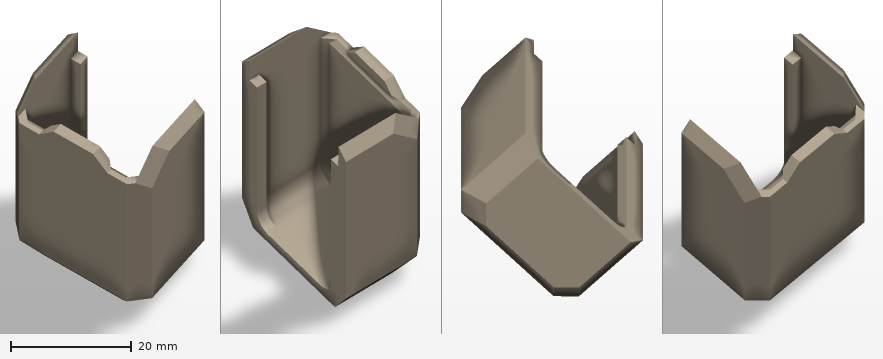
import cadquery as cq

width = 28.0
depth = 18.0
height = 42.0

wall = 2.0
corner_cut = 3.0
taper_inset = corner_cut
taper_height = 5.0

rim_z = 37.0
tab_rise = 3.0
tab_base_width = 14.0
tab_top_width = tab_base_width - 2 * tab_rise

floor_thickness = wall
floor_radius = 3.0
cavity_chamfer = wall / 2
post_size = wall
groove_depth = wall / 2

half_width = width / 2
inner_half_width = half_width - wall
post_y = depth - post_size


def section(inset):
    """Outer section with the sides and front moved in by the inset."""
    half = half_width - inset
    corner_y = inset + corner_cut
    return [
        (-half, depth),
        (-half, corner_y),
        (-half + corner_cut, inset),
        (half - corner_cut, inset),
        (half, corner_y),
        (half, depth),
    ]


def outer_body():
    straight = (
        cq.Workplane("XY", origin=(0, 0, taper_height))
        .polyline(section(0)).close()
        .extrude(height - taper_height)
    )
    tapered = (
        cq.Workplane("XY")
        .polyline(section(taper_inset)).close()
        .workplane(offset=taper_height)
        .polyline(section(0)).close()
        .loft(ruled=True, combine=True)
    )
    return straight.union(tapered)


def channel(half, start_y, end_y):
    """Open-topped channel along Y, up to the rim, with rounded floor corners."""
    return (
        cq.Workplane("XY")
        .box(2 * half, end_y - start_y, rim_z - floor_thickness, centered=(True, False, False))
        .translate((0, start_y, floor_thickness))
        .edges("|Y and <Z").fillet(floor_radius)
    )


def cavity():
    main = channel(inner_half_width, wall, post_y)
    main = main.faces("<Y").edges("not >Z").chamfer(cavity_chamfer)
    between_posts = channel(inner_half_width - post_size, post_y, depth)
    return main.union(between_posts)


def space_above_rim():
    """Clears everything between the side walls above the rim, except the tab."""
    tab = (
        cq.Workplane("XZ")
        .polyline([
            (-tab_base_width / 2, rim_z),
            (tab_base_width / 2, rim_z),
            (tab_top_width / 2, rim_z + tab_rise),
            (-tab_top_width / 2, rim_z + tab_rise),
        ]).close()
        .extrude(-wall)
    )
    space = (
        cq.Workplane("XY", origin=(0, 0, rim_z))
        .box(2 * inner_half_width, depth, height - rim_z, centered=(True, False, False))
    )
    return space.cut(tab)


def rim_groove():
    """V groove level with the rim; its ends run in line with the cavity chamfers."""
    mouth_half = inner_half_width - cavity_chamfer
    bottom_half = mouth_half - groove_depth
    bottom_y = wall - groove_depth
    vee = (
        cq.Workplane("YZ", origin=(-mouth_half, 0, 0))
        .polyline([
            (wall, rim_z - groove_depth),
            (bottom_y, rim_z),
            (wall, rim_z + groove_depth),
        ]).close()
        .extrude(2 * mouth_half)
    )
    mitred_ends = (
        cq.Workplane("XY")
        .polyline([
            (-mouth_half, wall),
            (-bottom_half, bottom_y),
            (bottom_half, bottom_y),
            (mouth_half, wall),
        ]).close()
        .extrude(height)
    )
    return vee.intersect(mitred_ends)


def left_top_bevel():
    """Brings the top of the left wall to a knife edge on its inner face."""
    return (
        cq.Workplane("XZ")
        .polyline([
            (-half_width, height - wall),
            (-half_width, height),
            (-half_width + wall, height),
        ]).close()
        .extrude(-depth)
    )


def left_front_rake():
    """Cuts the front of the left wall back at 45 degrees, bevelled to the same knife edge."""
    knife_start = (-inner_half_width, corner_cut - wall, rim_z)
    rake_plane = cq.Plane(origin=knife_start, xDir=(0, 1, 1), normal=(-2, -1, 1))
    return cq.Workplane(rake_plane).rect(2 * height, 2 * height).extrude(height)


result = (
    outer_body()
    .cut(cavity())
    .cut(space_above_rim())
    .cut(rim_groove())
)
for left_cut in (left_top_bevel(), left_front_rake()):
    result = result.cut(left_cut).cut(left_cut.mirror("YZ"))